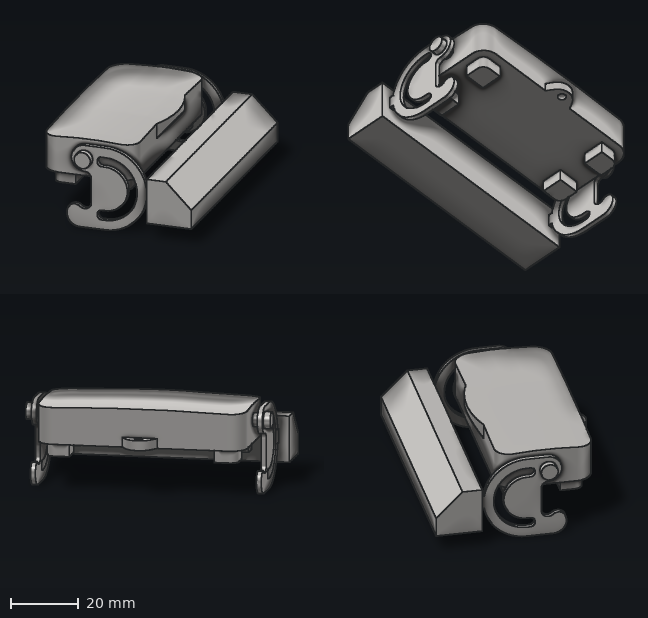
import cadquery as cq
import math


body_width = 29.3
body_length = 62.85
body_corner_radius = 5.0
crown_height = 12.5
side_drop = 0.8
end_drop = 0.75

lip_chord = 24.8
lip_reach = 2.3
lip_bottom = 9.1

tab_reach = 4.4
tab_thickness = 3.0
tab_radius = 4.5
tab_flank_angle = 32
tab_hole_diameter = 2.5
tab_hole_offset = 1.75

foot_size = 7.0
foot_height = 4.2
foot_corner_radius = 2.5
foot_side_inset = 2.7
foot_end_inset = 2.6

pin_z = 6.85
pin_diameter = 4.1
pin_head_diameter = 5.1
pin_embed = 0.75
pin_head_end = 36.85

lever_inner_y = 33.3
lever_thickness = 1.5
lever_arc_x = 6.5
lever_arc_z = -2.05
lever_radius = 13.0
eye_radius = lever_arc_z + lever_radius - pin_z
lobe_x = -1.5
lobe_radius = 4.0
tip_radius = 2.4
throat_radius = 2.05
throat_bottom = -9.1
slot_inner_radius = 6.9
slot_outer_radius = 9.95
slot_straight = 1.1
neck_height = 4.2
neck_embed = 0.75

bar_length = 76.0
bar_start = 20.7
bar_size = 14.0
bar_chamfer = 8.0
bar_top = 4.0

half_width = body_width / 2
half_length = body_length / 2


def arc_radius(half_chord, rise):
    """Radius of an arc from its half chord and its rise."""
    return (half_chord**2 + rise**2) / (2 * rise)


def point_between(start, end, distance):
    """Point at a distance from start on the line towards end."""
    share = distance / math.dist(start, end)
    return (start[0] + share * (end[0] - start[0]), start[1] + share * (end[1] - start[1]))


def on_circle(centre, radius, degrees):
    """Point on a circle at an angle from its first axis."""
    angle = math.radians(degrees)
    return (centre[0] + radius * math.cos(angle), centre[1] + radius * math.sin(angle))


def side_to_side(sketch, inner_y, outer_y):
    """Extrude an XZ outline between two distances from Y = 0, on both sides of the body."""
    front = sketch.extrude(outer_y - inner_y).translate((0, -inner_y, 0))
    return front.union(front.mirror("XZ"))


def make_lip():
    """Bulge with a circular edge, undercut at 45 degrees below its vertical rim."""
    lip_end = half_width + lip_reach
    plan = (
        cq.Workplane("XY")
        .moveTo(0, -lip_chord / 2)
        .lineTo(half_width, -lip_chord / 2)
        .threePointArc((lip_end, 0), (half_width, lip_chord / 2))
        .lineTo(0, lip_chord / 2)
        .close()
        .extrude(crown_height)
    )
    profile = (
        cq.Workplane("XZ")
        .polyline([
            (0, crown_height),
            (lip_end, crown_height),
            (lip_end, lip_bottom),
            (half_width, lip_bottom - lip_reach),
            (0, lip_bottom - lip_reach),
        ])
        .close()
        .extrude(lip_chord / 2, both=True)
    )
    return plan.intersect(profile)


def make_dome():
    """Solid of revolution about a line along Y, whose top is the doubly curved crown."""
    axis_z = crown_height - arc_radius(half_width, side_drop)
    end_z = crown_height - end_drop
    return (
        cq.Workplane("YZ")
        .moveTo(-half_length, axis_z)
        .lineTo(-half_length, end_z)
        .threePointArc((0, crown_height), (half_length, end_z))
        .lineTo(half_length, axis_z)
        .close()
        .revolve(360, (0, axis_z), (1, axis_z))
    )


def make_body():
    block = (
        cq.Workplane("XY")
        .rect(body_width, body_length)
        .extrude(crown_height)
        .edges("|Z")
        .fillet(body_corner_radius)
    )
    return block.union(make_lip()).intersect(make_dome())


def make_tab():
    """Rounded eyelet with flanks that spread towards the body."""
    nose_x = -half_width - tab_reach
    nose_centre = (nose_x + tab_radius, 0)
    flank_x, flank_y = on_circle(nose_centre, tab_radius, 90 + tab_flank_angle)
    root_y = flank_y + (-half_width - flank_x) * math.tan(math.radians(tab_flank_angle))
    return (
        cq.Workplane("XY")
        .moveTo(-half_width, root_y)
        .lineTo(flank_x, flank_y)
        .threePointArc((nose_x, 0), (flank_x, -flank_y))
        .lineTo(-half_width, -root_y)
        .close()
        .moveTo(-half_width - tab_hole_offset, 0)
        .circle(tab_hole_diameter / 2)
        .extrude(tab_thickness)
    )


def make_feet():
    """Square feet under the body corners, each with its outer corner rounded."""
    centre_x = half_width - foot_side_inset - foot_size / 2
    centre_y = half_length - foot_end_inset - foot_size / 2
    feet = cq.Workplane("XY")
    for side_x in (-1, 1):
        for side_y in (-1, 1):
            outer_corner = ("<X" if side_x < 0 else ">X") + " and " + ("<Y" if side_y < 0 else ">Y")
            foot = (
                cq.Workplane("XY")
                .center(side_x * centre_x, side_y * centre_y)
                .rect(foot_size, foot_size)
                .extrude(-foot_height)
                .edges(outer_corner)
                .fillet(foot_corner_radius)
            )
            feet = feet.union(foot)
    return feet


def make_pins():
    lever_outer_y = lever_inner_y + lever_thickness
    centre = cq.Workplane("XZ").center(0, pin_z)
    shank = side_to_side(centre.circle(pin_diameter / 2), half_length - pin_embed, lever_outer_y)
    head = side_to_side(centre.circle(pin_head_diameter / 2), lever_outer_y, pin_head_end)
    return shank.union(head)


def lever_outline():
    """Eye around the pin, large arc, and hook with a rounded throat, lobe and tip."""
    eye = (0, pin_z)
    lobe = (lobe_x, lever_arc_z - lever_radius + lobe_radius)
    throat = (0, throat_bottom + throat_radius)

    throat_to_lobe = math.dist(throat, lobe)
    throat_to_tip = throat_radius + tip_radius
    lobe_to_tip = lobe_radius - tip_radius
    along = (throat_to_tip**2 - lobe_to_tip**2 + throat_to_lobe**2) / (2 * throat_to_lobe)
    across = math.sqrt(throat_to_tip**2 - along**2)
    unit_x = (lobe[0] - throat[0]) / throat_to_lobe
    unit_z = (lobe[1] - throat[1]) / throat_to_lobe
    tip = (
        throat[0] + along * unit_x + across * unit_z,
        throat[1] + along * unit_z - across * unit_x,
    )
    throat_end = point_between(throat, tip, throat_radius)
    tip_end = point_between(lobe, tip, lobe_radius)

    eye_bottom = pin_z - eye_radius
    corner = (0, eye_bottom - throat_radius)
    return (
        cq.Workplane("XZ")
        .moveTo(0, pin_z + eye_radius)
        .lineTo(lever_arc_x, lever_arc_z + lever_radius)
        .threePointArc(
            (lever_arc_x + lever_radius, lever_arc_z),
            (lever_arc_x, lever_arc_z - lever_radius),
        )
        .lineTo(lobe_x, lever_arc_z - lever_radius)
        .threePointArc(on_circle(lobe, lobe_radius, 225), tip_end)
        .threePointArc(on_circle(tip, tip_radius, 90), throat_end)
        .threePointArc(on_circle(throat, throat_radius, 270), (throat_radius, throat[1]))
        .lineTo(throat_radius, corner[1])
        .threePointArc(on_circle(corner, throat_radius, 45), (0, eye_bottom))
        .threePointArc(on_circle(eye, eye_radius, 180), (0, pin_z + eye_radius))
        .close()
    )


def slot_outline():
    """C-shaped slot following the lever's large arc, with short straight ends."""
    slot_end_radius = (slot_outer_radius - slot_inner_radius) / 2
    slot_mid_radius = (slot_outer_radius + slot_inner_radius) / 2
    end_x = lever_arc_x - slot_straight
    return (
        cq.Workplane("XZ", origin=(0, 0, lever_arc_z))
        .moveTo(end_x, slot_outer_radius)
        .lineTo(lever_arc_x, slot_outer_radius)
        .threePointArc((lever_arc_x + slot_outer_radius, 0), (lever_arc_x, -slot_outer_radius))
        .lineTo(end_x, -slot_outer_radius)
        .threePointArc((end_x - slot_end_radius, -slot_mid_radius), (end_x, -slot_inner_radius))
        .lineTo(lever_arc_x, -slot_inner_radius)
        .threePointArc((lever_arc_x + slot_inner_radius, 0), (lever_arc_x, slot_inner_radius))
        .lineTo(end_x, slot_inner_radius)
        .threePointArc((end_x - slot_end_radius, slot_mid_radius), (end_x, slot_outer_radius))
        .close()
    )


def make_levers():
    """Slotted hook levers, each with a short neck that runs into the handle bar."""
    outer_y = lever_inner_y + lever_thickness
    neck_start = lever_arc_x + (slot_outer_radius + lever_radius) / 2
    neck_end = bar_start + neck_embed
    neck = (
        cq.Workplane("XZ")
        .center((neck_start + neck_end) / 2, lever_arc_z)
        .rect(neck_end - neck_start, neck_height)
    )
    plates = side_to_side(lever_outline(), lever_inner_y, outer_y)
    slots = side_to_side(slot_outline(), lever_inner_y, outer_y)
    necks = side_to_side(neck, lever_inner_y, outer_y)
    return plates.cut(slots).union(necks)


def make_bar():
    """Square bar with its upper outer edge cut away at 45 degrees."""
    bar_end = bar_start + bar_size
    bar_bottom = bar_top - bar_size
    return (
        cq.Workplane("XZ")
        .polyline([
            (bar_start, bar_bottom),
            (bar_end, bar_bottom),
            (bar_end, bar_top - bar_chamfer),
            (bar_end - bar_chamfer, bar_top),
            (bar_start, bar_top),
        ])
        .close()
        .extrude(bar_length / 2, both=True)
    )


result = (
    make_body()
    .union(make_tab())
    .union(make_feet())
    .union(make_pins())
    .union(make_levers())
    .union(make_bar())
)